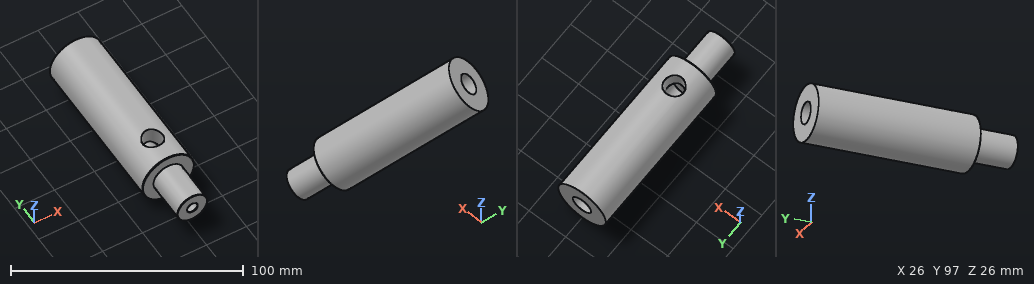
import cadquery as cq

total_length = 97.0
body_diameter = 26.0
body_chamfer = 0.3

pin_diameter = 15.0
pin_length = 20.0
pin_chamfer = 0.2

pin_hole_diameter = 5.0
pin_hole_depth = 15.0
pin_hole_chamfer = 0.2

passage_diameter = 10.0
port_distance = 33.0
bore_overrun = 1.0

pin_end_y = -total_length / 2
shoulder_y = pin_end_y + pin_length
body_end_y = total_length / 2
port_y = pin_end_y + port_distance
bore_floor_y = port_y - passage_diameter / 2 - bore_overrun


def cylinder_along_y(diameter, start_y, end_y):
    """Cylinder on the part axis from start_y up to end_y."""
    return cq.Workplane(
        cq.Solid.makeCylinder(
            diameter / 2, end_y - start_y, cq.Vector(0, start_y, 0), cq.Vector(0, 1, 0)
        )
    )


def make_body():
    """Main cylinder with its shoulder edge broken."""
    body = cylinder_along_y(body_diameter, shoulder_y, body_end_y)
    return body.faces("<Y").edges().chamfer(body_chamfer)


def make_pin():
    """Stub pin with a blind centre hole; both end edges are broken."""
    pin = cylinder_along_y(pin_diameter, pin_end_y, shoulder_y)
    pin = pin.faces("<Y").edges().chamfer(pin_chamfer)
    hole = cylinder_along_y(pin_hole_diameter, pin_end_y, pin_end_y + pin_hole_depth)
    pin = pin.cut(hole)
    return pin.faces("<Y").edges(cq.selectors.RadiusNthSelector(0)).chamfer(pin_hole_chamfer)


def make_passage():
    """Axial bore joined to the port that opens at the +Z side."""
    bore = cylinder_along_y(passage_diameter, bore_floor_y, body_end_y)
    port = (
        cq.Workplane("XY")
        .center(0, port_y)
        .circle(passage_diameter / 2)
        .extrude(body_diameter / 2)
    )
    return bore.union(port)


result = make_body().union(make_pin()).cut(make_passage())